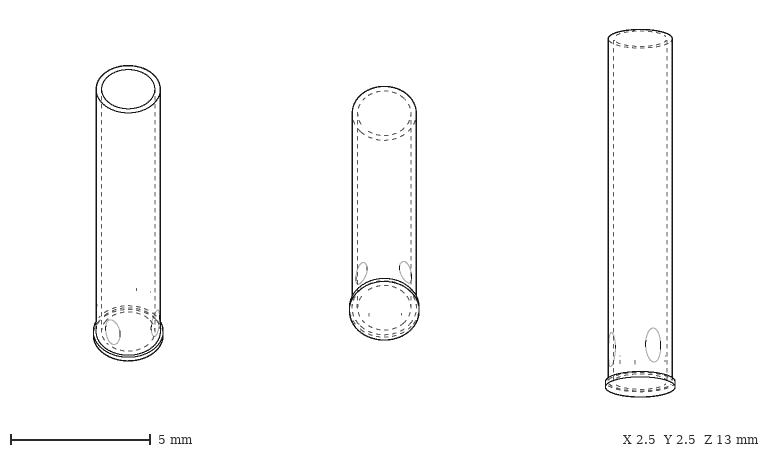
import cadquery as cq

total_height = 13.0
body_diameter = 2.3
bore_diameter = 1.9
flange_diameter = 2.5
flange_height = 0.2
floor_thickness = flange_height

dimple_count = 4
dimple_center_z = 1.25
dimple_sphere_radius = 4.0
dimple_depth = 0.05


def disc(diameter, bottom, top):
    """Solid cylinder on the Z axis between two heights."""
    return cq.Workplane("XY").workplane(offset=bottom).circle(diameter / 2).extrude(top - bottom)


def dimple_cutter():
    """Large sphere beside the +X side that just bites into the wall."""
    sphere_x = body_diameter / 2 - dimple_depth + dimple_sphere_radius
    return cq.Workplane("XZ").sphere(dimple_sphere_radius).translate((sphere_x, 0, dimple_center_z))


def dimpled_body():
    """Outer body above the flange with the ring of dimples cut into it."""
    body = disc(body_diameter, flange_height, total_height)
    for index in range(dimple_count):
        angle = index * 360 / dimple_count
        body = body.cut(dimple_cutter().rotate((0, 0, 0), (0, 0, 1), angle))
    return body


flange = disc(flange_diameter, 0, flange_height)
bore = disc(bore_diameter, floor_thickness, total_height)
result = dimpled_body().union(flange).cut(bore)